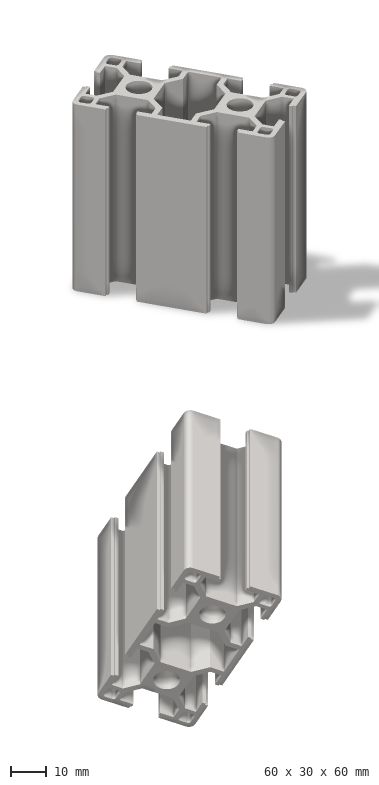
import cadquery as cq

length = 60.0
cell = 30.0
half_cell = cell / 2
cell_centers = [-half_cell, half_cell]
corner_radius = 2.0

bore_diameter = 7.5
hub_half = 6.0

mouth_half = 4.6
mouth_step_depth = 0.9
throat_half = 4.15
lip_thickness = 2.0
cavity_half = 8.35
hub_flat_half = 4.75

chamber_half_width = 5.0

corner_hole_size = 3.85
corner_hole_inset = 3.4
corner_hole_radius = 0.85


def prism(right_half):
    """Extrude an outline given by its right half, mirrored across the Y axis."""
    left_half = [(-x, y) for x, y in reversed(right_half)]
    return cq.Workplane("XY").polyline(right_half + left_half).close().extrude(length)


def slot_cutter():
    """T-slot opening toward +Y, in a cell centred on the origin."""
    lip_inside = half_cell - lip_thickness
    step = half_cell - mouth_step_depth
    shoulder = hub_half + cavity_half - hub_flat_half
    return prism([
        (hub_flat_half, hub_half),
        (cavity_half, shoulder),
        (cavity_half, lip_inside),
        (throat_half, lip_inside),
        (throat_half, step),
        (mouth_half, step),
        (mouth_half, half_cell),
    ])


def chamber_cutter():
    """Chamber that widens at 45 degrees to the flats of both hubs."""
    hub_face = half_cell - hub_half
    end = half_cell - lip_thickness
    shoulder = hub_flat_half + hub_face - chamber_half_width
    return prism([
        (chamber_half_width, -end),
        (chamber_half_width, -shoulder),
        (hub_face, -hub_flat_half),
        (hub_face, hub_flat_half),
        (chamber_half_width, shoulder),
        (chamber_half_width, end),
    ])


def corner_hole_cutters():
    spacing_x = 2 * (cell - corner_hole_inset)
    spacing_y = 2 * (half_cell - corner_hole_inset)
    return (
        cq.Workplane("XY")
        .rarray(spacing_x, spacing_y, 2, 2)
        .rect(corner_hole_size, corner_hole_size)
        .extrude(length)
        .edges("|Z")
        .fillet(corner_hole_radius)
    )


result = (
    cq.Workplane("XY")
    .box(2 * cell, cell, length, centered=(True, True, False))
    .edges("|Z")
    .fillet(corner_radius)
)

slot = slot_cutter()
for center_x in cell_centers:
    outward_angle = 90 if center_x < 0 else -90
    for angle in (0, 180, outward_angle):
        placed_slot = slot.rotate((0, 0, 0), (0, 0, 1), angle).translate((center_x, 0, 0))
        result = result.cut(placed_slot)

bores = (
    cq.Workplane("XY")
    .pushPoints([(center_x, 0) for center_x in cell_centers])
    .circle(bore_diameter / 2)
    .extrude(length)
)
result = result.cut(chamber_cutter()).cut(corner_hole_cutters()).cut(bores)